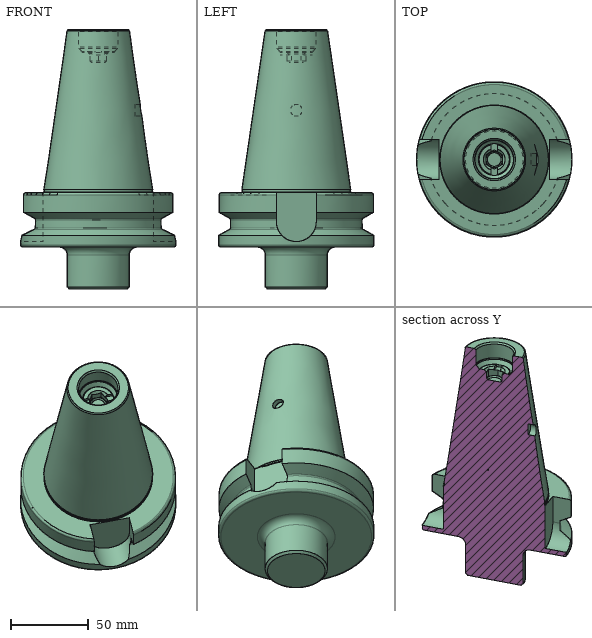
import cadquery as cq
import math


gauge_radius = 69.85 / 2
taper_length = 101.8
taper_slope = 7 / 24 / 2
taper_overrun = 1.0
tip_chamfer = 0.7

relief_radius = 34.8
relief_land = 0.6

flange_radius = 50.0
upper_flange_radius = 49.75
flange_top = -3.0
flange_bottom = -38.0
flange_fillet = 1.5
groove_center = -23.0
groove_radius = 42.4
groove_half_mouth = 7.4
groove_half_floor = 3.2
groove_fillet = 1.0

slot_width = 25.7
slot_floor = 35.4
slot_bottom = -34.4

nose_radius = 20.0
nose_length = 27.0
nose_root_fillet = 5.0
nose_end_chamfer = 1.5

bore_radius = 12.6
bore_mouth_radius = 13.6
bore_depth = 11.0
step_radius = 12.35
step_depth = 12.0
seat_radius = 10.2
seat_depth = 14.6

insert_chamfer = 0.5
insert_slot_width = 4.5
insert_slot_depth = 2.0
socket_mouth_radius = 6.95
socket_flats = 10.6
socket_depth = 6.0
socket_floor_radius = 4.4
hexagon_half_angle = 30.0

side_hole_radius = 3.75
side_hole_height = 50.0
side_hole_depth = 4.0


def quarter_arc_inset(radius):
    """Inset of a quarter arc's midpoint from the two lines it touches."""
    return radius * (1 - math.sqrt(0.5))


def taper_radius(z):
    return gauge_radius - taper_slope * z


def revolve_profile(profile):
    """Turn a closed profile drawn in (radius, z) about the Z axis."""
    return profile.close().revolve(360, (0, 0, 0), (0, 1, 0))


def make_cone(top_radius, bottom_radius, top_z, bottom_z):
    return revolve_profile(
        cq.Workplane("YZ").moveTo(0, top_z).lineTo(top_radius, top_z)
        .lineTo(bottom_radius, bottom_z).lineTo(0, bottom_z)
    )


def make_body():
    nose_end = flange_bottom - nose_length
    tip_z = taper_length - tip_chamfer
    arc_offset = quarter_arc_inset(flange_fillet)
    root_offset = quarter_arc_inset(nose_root_fillet)
    profile = (
        cq.Workplane("YZ")
        .moveTo(0, taper_length)
        .lineTo(taper_radius(taper_length) - tip_chamfer, taper_length)
        .lineTo(taper_radius(tip_z), tip_z)
        .lineTo(taper_radius(-taper_overrun), -taper_overrun)
        .lineTo(relief_radius, -taper_overrun)
        .lineTo(relief_radius, flange_top + relief_land)
        .lineTo(taper_radius(-taper_overrun), flange_top + relief_land)
        .lineTo(taper_radius(-taper_overrun), flange_top)
        .lineTo(upper_flange_radius - flange_fillet, flange_top)
        .threePointArc(
            (upper_flange_radius - arc_offset, flange_top - arc_offset),
            (upper_flange_radius, flange_top - flange_fillet),
        )
        .lineTo(upper_flange_radius, groove_center + groove_half_mouth)
        .lineTo(groove_radius, groove_center + groove_half_floor)
        .lineTo(groove_radius, groove_center - groove_half_floor)
        .lineTo(flange_radius, groove_center - groove_half_mouth)
        .lineTo(flange_radius, flange_bottom + flange_fillet)
        .threePointArc(
            (flange_radius - arc_offset, flange_bottom + arc_offset),
            (flange_radius - flange_fillet, flange_bottom),
        )
        .lineTo(nose_radius + nose_root_fillet, flange_bottom)
        .threePointArc(
            (nose_radius + root_offset, flange_bottom - root_offset),
            (nose_radius, flange_bottom - nose_root_fillet),
        )
        .lineTo(nose_radius, nose_end + nose_end_chamfer)
        .lineTo(nose_radius - nose_end_chamfer, nose_end)
        .lineTo(0, nose_end)
    )
    groove_floor_edges = cq.selectors.BoxSelector(
        (-groove_radius, -groove_radius, groove_center - groove_half_mouth / 2),
        (groove_radius, groove_radius, groove_center + groove_half_mouth / 2),
    )
    return revolve_profile(profile).edges(groove_floor_edges).edges("%CIRCLE").fillet(groove_fillet)


def make_bore():
    """Chamfered and stepped bore, its conical seat and the bevelled rim of the insert."""
    mouth_chamfer = bore_mouth_radius - bore_radius
    seat_z = taper_length - seat_depth
    return revolve_profile(
        cq.Workplane("YZ")
        .moveTo(0, taper_length)
        .lineTo(bore_mouth_radius, taper_length)
        .lineTo(bore_radius, taper_length - mouth_chamfer)
        .lineTo(bore_radius, taper_length - bore_depth)
        .lineTo(step_radius, taper_length - bore_depth)
        .lineTo(step_radius, taper_length - step_depth)
        .lineTo(seat_radius, seat_z)
        .lineTo(seat_radius - insert_chamfer, seat_z + insert_chamfer)
        .lineTo(0, seat_z + insert_chamfer)
    )


def make_socket():
    """Countersunk hexagon with a conical bottom, plus the slot across the insert."""
    face_z = taper_length - seat_depth + insert_chamfer
    hex_corner_radius = socket_flats / 2 / math.cos(math.radians(hexagon_half_angle))
    countersink_depth = socket_mouth_radius - socket_flats / 2
    countersink = make_cone(socket_mouth_radius, socket_flats / 2, face_z, face_z - countersink_depth)
    hexagon = (
        cq.Workplane("XY", origin=(0, 0, face_z))
        .transformed(rotate=(0, 0, hexagon_half_angle))
        .polygon(6, 2 * hex_corner_radius)
        .extrude(-socket_depth)
    )
    floor_cone_depth = socket_flats / 2 - socket_floor_radius
    floor_z = face_z - socket_depth
    floor_cone = make_cone(socket_flats / 2, socket_floor_radius, floor_z, floor_z - floor_cone_depth)
    slot_reach = cq.Workplane("XY", origin=(0, 0, face_z)).circle(seat_radius).extrude(-insert_slot_depth)
    slot = (
        cq.Workplane("XY", origin=(0, 0, face_z))
        .rect(insert_slot_width, 2 * seat_radius)
        .extrude(-insert_slot_depth)
        .intersect(slot_reach)
    )
    return countersink.union(hexagon).union(floor_cone).union(slot)


def make_drive_slot(side):
    """Round-bottomed slot, open upward and outward, on the side given by +1 or -1."""
    half_width = slot_width / 2
    arc_center = slot_bottom + half_width
    return (
        cq.Workplane("YZ", origin=(side * slot_floor, 0, 0))
        .moveTo(-half_width, flange_top)
        .lineTo(-half_width, arc_center)
        .threePointArc((0, slot_bottom), (half_width, arc_center))
        .lineTo(half_width, flange_top)
        .close()
        .extrude(side * flange_radius)
    )


def make_side_hole():
    floor_x = taper_radius(side_hole_height) - side_hole_depth
    return (
        cq.Workplane("YZ", origin=(floor_x, 0, side_hole_height))
        .circle(side_hole_radius)
        .extrude(gauge_radius)
    )


result = make_body().cut(make_bore()).cut(make_socket()).cut(make_side_hole())
for side in (1, -1):
    result = result.cut(make_drive_slot(side))